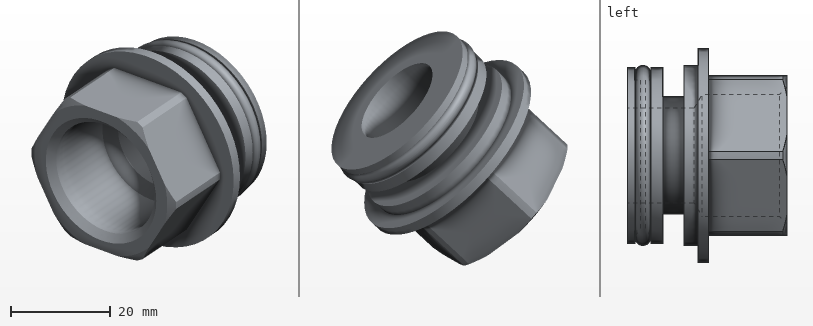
import cadquery as cq
import math

hex_length = 15.7
flange_width = 2.15
collar_width = 2.82
neck_length = 4.2
inner_land_width = 2.45
groove_width = 3.15
end_land_width = 1.55

across_flats = 31.97
corner_diameter = 36.05
hex_face_diameter = 32.95
hex_chamfer_angle = 30
flange_diameter = 42.8
collar_diameter = 36.05
neck_diameter = 23.55
land_diameter = 35.2
ring_diameter = 36.05
ring_section = 3.0
ring_seat_overlap = 0.1

mouth_diameter = 27.48
socket_diameter = 24.5
through_diameter = 19.0
socket_depth = 17.05
mouth_chamfer_depth = 1.5
socket_cone_angle = 30

flange_start = hex_length
collar_start = flange_start + flange_width
neck_start = collar_start + collar_width
inner_land_start = neck_start + neck_length
groove_start = inner_land_start + inner_land_width
end_land_start = groove_start + groove_width
total_length = end_land_start + end_land_width
groove_diameter = ring_diameter - 2 * (ring_section - ring_seat_overlap)


def disc(diameter, start, length):
    """Solid cylinder about the Y axis, running toward +Y."""
    plane = cq.Workplane("XZ", origin=(0, start, 0))
    return plane.circle(diameter / 2).extrude(-length)


def revolve_profile(points):
    """Revolve a closed (radius, Y) outline about the Y axis."""
    return cq.Workplane("XY").polyline(points).close().revolve(360, (0, 0), (0, 1))


def hexagon():
    """Hexagon with corners on X, turned to a cylinder and chamfered at the free end."""
    corner_to_corner = across_flats / math.cos(math.radians(30))
    prism = cq.Workplane("XZ").polygon(6, corner_to_corner).extrude(-hex_length)
    corner_radius = corner_diameter / 2
    face_radius = hex_face_diameter / 2
    chamfer_depth = (corner_radius - face_radius) * math.tan(math.radians(hex_chamfer_angle))
    envelope = revolve_profile([
        (0, 0),
        (face_radius, 0),
        (corner_radius, chamfer_depth),
        (corner_radius, hex_length),
        (0, hex_length),
    ])
    return prism.intersect(envelope)


def sealing_ring():
    """O-ring seated on the groove floor, midway between the two lands."""
    ring_center = (ring_diameter - ring_section) / 2
    ring_position = groove_start + groove_width / 2
    section = cq.Workplane("XY").center(ring_center, ring_position).circle(ring_section / 2)
    return section.revolve(360, (-ring_center, 0), (-ring_center, 1))


def bore():
    """Chamfered socket that tapers down to the through hole."""
    through_radius = through_diameter / 2
    socket_radius = socket_diameter / 2
    cone_depth = (socket_radius - through_radius) * math.tan(math.radians(socket_cone_angle))
    return revolve_profile([
        (0, 0),
        (mouth_diameter / 2, 0),
        (socket_radius, mouth_chamfer_depth),
        (socket_radius, socket_depth),
        (through_radius, socket_depth + cone_depth),
        (through_radius, total_length),
        (0, total_length),
    ])


body = hexagon()
for diameter, start, length in [
    (flange_diameter, flange_start, flange_width),
    (collar_diameter, collar_start, collar_width),
    (neck_diameter, neck_start, neck_length),
    (land_diameter, inner_land_start, inner_land_width),
    (groove_diameter, groove_start, groove_width),
    (land_diameter, end_land_start, end_land_width),
]:
    body = body.union(disc(diameter, start, length))

result = body.union(sealing_ring()).cut(bore())